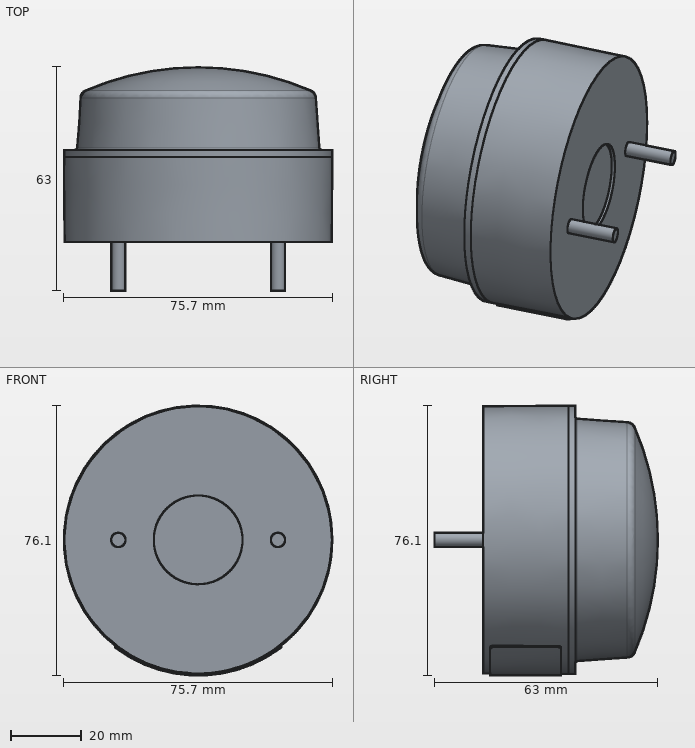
import cadquery as cq
import math


body_radius = 37.87
base_length = 24.05
base_draft = 0.4
base_front_radius = body_radius - base_length * math.tan(math.radians(base_draft))
recess_diameter = 25.05
recess_depth = 1.0
stud_diameter = 4.0
stud_spacing = 45.0
stud_length = 13.7

flange_thickness = 2.0
lens_height = 23.3
lens_foot_radius = 34.25
lens_rim_radius = 33.1
dome_radius = 79.9
rim_fillet = 2.5
foot_fillet = 0.5

overall_height = 76.1
label_outer_radius = overall_height - body_radius
label_width = 20.0
label_arc_length = 50.0
label_corner_radius = 1.0
label_trim_depth = 0.75
label_angle = math.degrees(label_arc_length / body_radius)


def dome_drop(radius):
    """Distance from the top of the dome down to its surface at a given radius."""
    return dome_radius - math.sqrt(dome_radius**2 - radius**2)


def revolve_about_y(profile, angle=360.0):
    """Turn a closed XY profile about the Y axis."""
    return profile.close().revolve(angle, (0, 0, 0), (0, 1, 0))


def make_base_drum():
    return revolve_about_y(
        cq.Workplane("XY")
        .lineTo(body_radius, 0)
        .lineTo(base_front_radius, -base_length)
        .lineTo(0, -base_length)
    )


def make_base():
    front_face = cq.Workplane("XZ", origin=(0, -base_length, 0))
    recess = front_face.circle(recess_diameter / 2).extrude(-recess_depth)
    studs = (
        front_face.pushPoints([(-stud_spacing / 2, 0), (stud_spacing / 2, 0)])
        .circle(stud_diameter / 2)
        .extrude(stud_length)
    )
    return make_base_drum().cut(recess).union(studs)


def make_lens():
    apex_y = flange_thickness + lens_height
    half_rim = lens_rim_radius / 2
    rim_y = apex_y - dome_drop(lens_rim_radius)
    lens = revolve_about_y(
        cq.Workplane("XY")
        .lineTo(body_radius, 0)
        .lineTo(body_radius, flange_thickness)
        .lineTo(lens_foot_radius, flange_thickness)
        .lineTo(lens_rim_radius, rim_y)
        .threePointArc((half_rim, apex_y - dome_drop(half_rim)), (0, apex_y))
    )
    rim_edge = cq.selectors.RadiusNthSelector(0)
    lens = lens.edges("%CIRCLE").edges(rim_edge).fillet(rim_fillet)
    foot_edge = cq.selectors.BoxSelector(
        (-body_radius, flange_thickness - foot_fillet, -lens_foot_radius - foot_fillet),
        (body_radius, flange_thickness + foot_fillet, lens_foot_radius + foot_fillet),
        boundingbox=True,
    )
    return lens.edges(foot_edge).fillet(foot_fillet)


def make_label():
    """Cylindrical plate centred on the length of the base, with its inside fitted to the drum."""
    back_y = -(base_length - label_width) / 2
    front_y = back_y - label_width
    inner_radius = base_front_radius - label_trim_depth
    plate = revolve_about_y(
        cq.Workplane("XY")
        .moveTo(inner_radius, back_y)
        .lineTo(label_outer_radius, back_y)
        .lineTo(label_outer_radius, front_y)
        .lineTo(inner_radius, front_y),
        label_angle,
    )
    plate = plate.rotate((0, 0, 0), (0, 1, 0), 90 - label_angle / 2)
    plate = plate.edges("#Y").edges("%LINE").fillet(label_corner_radius)
    return plate.cut(make_base_drum())


base = make_base()
lens = make_lens()
label = make_label()

result = cq.Compound.makeCompound([base.solids().val(), lens.solids().val(), label.solids().val()])